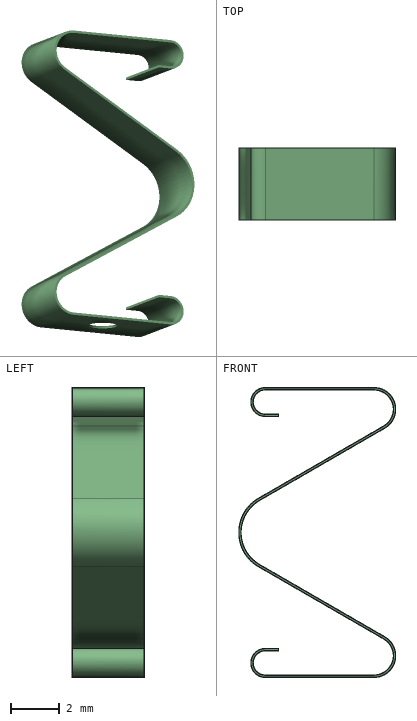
import cadquery as cq
import math

LENGTH_X = 6.5
WIDTH_Y = 3.0
HEIGHT_Z = 12.0
THICKNESS = 0.1

HOOK_RADIUS = 0.6
CORNER_RADIUS = 0.9
LEG_ANGLE = 30.0

HOOK_INSET = 0.5
HOOK_LIP = 0.55
HOLE_DIAMETER = 1.2

HALF_THICKNESS = THICKNESS / 2
HALF_WIDTH = WIDTH_Y / 2
MID_Z = HEIGHT_Z / 2
HOOK_X = HOOK_INSET + HOOK_RADIUS
CORNER_X = LENGTH_X - CORNER_RADIUS
HOLE_X = (HOOK_INSET + LENGTH_X) / 2


def middle_bend_radius():
    """Outer radius that makes the middle bend tangent to both sloped legs."""
    slope = math.radians(LEG_ANGLE)
    corner_rise = MID_Z - CORNER_RADIUS
    across_leg = corner_rise * math.cos(slope) - CORNER_X * math.sin(slope)
    corner_inner_radius = CORNER_RADIUS - THICKNESS
    return (across_leg - corner_inner_radius) / (1 - math.sin(slope))


MIDDLE_RADIUS = middle_bend_radius()
CORNER_SWEEP = 180 - LEG_ANGLE
MIDDLE_SWEEP = 180 - 2 * LEG_ANGLE

BENDS = [
    (HOOK_X, HEIGHT_Z - HOOK_RADIUS, HOOK_RADIUS, -90, -180),
    (CORNER_X, HEIGHT_Z - CORNER_RADIUS, CORNER_RADIUS, 90, -CORNER_SWEEP),
    (MIDDLE_RADIUS, MID_Z, MIDDLE_RADIUS, 90 + LEG_ANGLE, MIDDLE_SWEEP),
    (CORNER_X, CORNER_RADIUS, CORNER_RADIUS, 90 - LEG_ANGLE, -CORNER_SWEEP),
    (HOOK_X, HOOK_RADIUS, HOOK_RADIUS, -90, -180),
]


def bend_arc(bend, left_offset):
    """Start, middle and end points of a bend, offset left of the strip's mid line."""
    center_x, center_z, outer_radius, start, sweep = bend
    turn = math.copysign(1, sweep)
    radius = outer_radius - HALF_THICKNESS - turn * left_offset
    angles = [math.radians(start + sweep * part) for part in (0, 0.5, 1)]
    return [(center_x + radius * math.cos(a), center_z + radius * math.sin(a)) for a in angles]


def lip_end(tangent_point):
    """Free end of the lip that leaves a hook at the given point."""
    x, z = tangent_point
    return (x + HOOK_LIP, z)


def trace_face(outline, arcs):
    """Run the outline along one face of the sheet to the far lip end."""
    for start, middle, end in arcs:
        outline = outline.lineTo(*start).threePointArc(middle, end)
    return outline.lineTo(*lip_end(arcs[-1][-1]))


def strip():
    """Bent strip: down one face of the sheet, back up the other, then extruded."""
    left_arcs = [bend_arc(bend, HALF_THICKNESS) for bend in BENDS]
    right_arcs = [bend_arc(bend, -HALF_THICKNESS)[::-1] for bend in reversed(BENDS)]

    upper_lip = lip_end(left_arcs[0][0])
    lower_lip = lip_end(right_arcs[0][0])
    outline = cq.Workplane("XZ").moveTo(*upper_lip)
    outline = trace_face(outline, left_arcs).lineTo(*lower_lip)
    outline = trace_face(outline, right_arcs)
    return outline.close().extrude(HALF_WIDTH, both=True)


def bottom_hole():
    """Cutter for the round hole through the bottom plate."""
    return cq.Workplane("XY").center(HOLE_X, 0).circle(HOLE_DIAMETER / 2).extrude(THICKNESS)


result = strip().cut(bottom_hole())